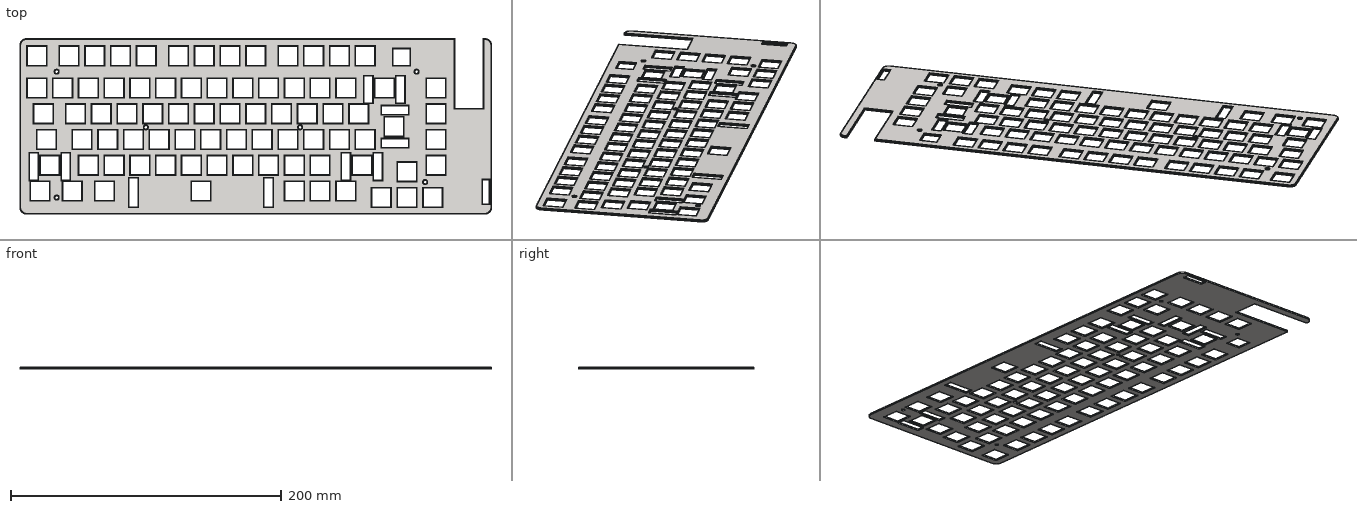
import cadquery as cq

LENGTH = 349.0
WIDTH = 130.0
THICKNESS = 1.55
CORNER_RADIUS = 5.0
TOP_CHAMFER = 0.52

FUNCTION_ROW = 0
NUMBER_ROW = 1.25
TAB_ROW = 2.25
HOME_ROW = 3.25
SHIFT_ROW = 4.25
SPACE_ROW = 5.25
ENTER_ROW = (TAB_ROW + HOME_ROW) / 2
ARROW_DROP = 0.25

BACKSPACE_COLUMN = 13.5
ENTER_COLUMN = 13.875
LEFT_SHIFT_COLUMN = 0.5
RIGHT_SHIFT_COLUMN = 12.625
SPACE_COLUMN = 6.375
SIDE_COLUMN = 15.5
UP_ARROW_COLUMN = 14.375

SWITCH_SIZE = 14.0
FIRST_KEY_X = 12.5
SIDE_KEYS_X = 308.0
SPACE_KEYS_Y = 17.0
KEY_PITCH = (SIDE_KEYS_X - FIRST_KEY_X) / SIDE_COLUMN
FIRST_KEY_Y = SPACE_KEYS_Y + SPACE_ROW * KEY_PITCH

SLOT_WIDTH = 6.3
SLOT_LENGTH = 20.0
SLOT_SHIFT = 1.0
WIDE_KEY_REACH = 12.0
SPACE_BAR_REACH = 50.0
SPACE_BAR_SLOT_WIDTH = 6.5
SPACE_BAR_SLOT_LENGTH = 21.3
ENTER_REACH = 12.2
ENTER_SLOT_SHIFT = 0.7

SMALL_WINDOW_SIZE = 12.2
SMALL_WINDOW_CENTRE = (282.5, 116.2)

HOLE_DIAMETER = 2.7
HOLE_CENTRES = [
    (27.2, 105.5),
    (293.5, 105.5),
    (93.2, 64.2),
    (207.5, 64.2),
    (300.0, 23.7),
    (27.2, 12.2),
]

NOTCH_LEFT = 321.8
NOTCH_RIGHT = 342.8
NOTCH_DEPTH = 51.5

SIDE_SLOT_WIDTH = 5.0
SIDE_SLOT_LENGTH = 17.8
SIDE_SLOT_CENTRE = (345.0, 16.5)


def run(start, count):
    """Columns of neighbouring keys, one key unit apart."""
    return [start + i for i in range(count)]


def key_centre(column, row):
    """Position on the plate of a key given in key units."""
    return (FIRST_KEY_X + column * KEY_PITCH, FIRST_KEY_Y - row * KEY_PITCH)


def windows(centres, size_x, size_y):
    """Rectangular prisms through the plate."""
    return cq.Workplane("XY").pushPoints(centres).rect(size_x, size_y).extrude(THICKNESS)


def plate():
    blank = cq.Workplane("XY").box(LENGTH, WIDTH, THICKNESS, centered=False)
    return blank.edges("|Z").fillet(CORNER_RADIUS)


def switch_windows():
    """Square windows for all key switches."""
    rows = {
        FUNCTION_ROW: [0] + run(1.25, 4) + run(5.5, 4) + run(9.75, 4),
        NUMBER_ROW: run(0, 13) + [BACKSPACE_COLUMN, SIDE_COLUMN],
        TAB_ROW: [0.25] + run(1.5, 12) + [SIDE_COLUMN],
        ENTER_ROW: [ENTER_COLUMN],
        HOME_ROW: [0.375] + run(1.75, 12) + [SIDE_COLUMN],
        SHIFT_ROW: [LEFT_SHIFT_COLUMN] + run(2, 10) + [RIGHT_SHIFT_COLUMN, SIDE_COLUMN],
        SHIFT_ROW + ARROW_DROP: [UP_ARROW_COLUMN],
        SPACE_ROW: [0.125, 1.375, 2.625, SPACE_COLUMN] + run(10, 3),
        SPACE_ROW + ARROW_DROP: run(UP_ARROW_COLUMN - 1, 3),
    }
    centres = [key_centre(column, row) for row, columns in rows.items() for column in columns]
    return windows(centres, SWITCH_SIZE, SWITCH_SIZE)


def upright_slot_centres(column, row, reach):
    """Centres of the slots left and right of a wide key."""
    x, y = key_centre(column, row)
    return [(x + side * reach, y - SLOT_SHIFT) for side in (-1, 1)]


def wide_key_slots():
    """Slot pairs of the backspace and both shift keys."""
    centres = (
        upright_slot_centres(BACKSPACE_COLUMN, NUMBER_ROW, WIDE_KEY_REACH)
        + upright_slot_centres(LEFT_SHIFT_COLUMN, SHIFT_ROW, WIDE_KEY_REACH)
        + upright_slot_centres(RIGHT_SHIFT_COLUMN, SHIFT_ROW, WIDE_KEY_REACH)
    )
    return windows(centres, SLOT_WIDTH, SLOT_LENGTH)


def space_bar_slots():
    """Longer slot pair at the ends of the space bar."""
    centres = upright_slot_centres(SPACE_COLUMN, SPACE_ROW, SPACE_BAR_REACH)
    return windows(centres, SPACE_BAR_SLOT_WIDTH, SPACE_BAR_SLOT_LENGTH)


def enter_slots():
    """Lying slots behind and in front of the tall enter key."""
    x, y = key_centre(ENTER_COLUMN, ENTER_ROW)
    centres = [(x + ENTER_SLOT_SHIFT, y + side * ENTER_REACH) for side in (-1, 1)]
    return windows(centres, SLOT_LENGTH, SLOT_WIDTH)


def small_window():
    return windows([SMALL_WINDOW_CENTRE], SMALL_WINDOW_SIZE, SMALL_WINDOW_SIZE)


def screw_holes():
    return cq.Workplane("XY").pushPoints(HOLE_CENTRES).circle(HOLE_DIAMETER / 2).extrude(THICKNESS)


def rear_notch():
    centre = ((NOTCH_LEFT + NOTCH_RIGHT) / 2, WIDTH - NOTCH_DEPTH / 2)
    return windows([centre], NOTCH_RIGHT - NOTCH_LEFT, NOTCH_DEPTH)


def side_slot():
    return windows([SIDE_SLOT_CENTRE], SIDE_SLOT_WIDTH, SIDE_SLOT_LENGTH)


pierced_plate = (
    plate()
    .cut(switch_windows())
    .cut(wide_key_slots())
    .cut(space_bar_slots())
    .cut(enter_slots())
    .cut(small_window())
    .cut(screw_holes())
    .cut(rear_notch())
    .cut(side_slot())
)

result = pierced_plate.faces(">Z").edges().chamfer(TOP_CHAMFER).solids()